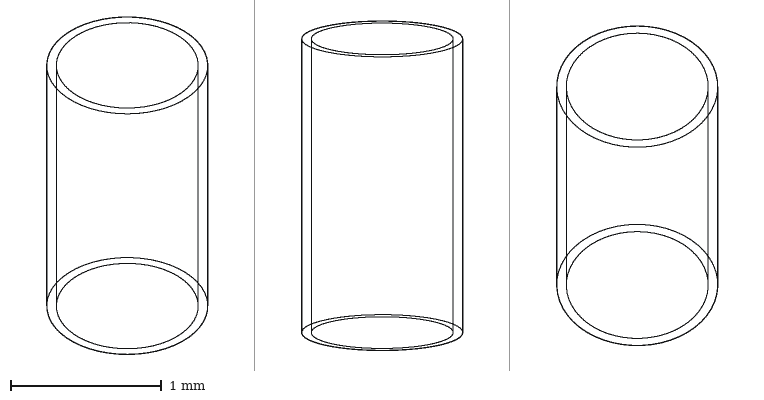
import cadquery as cq

length = 2.0
outer_diameter = 1.07
wall_thickness = 0.065
inner_diameter = outer_diameter - 2 * wall_thickness

result = (
    cq.Workplane("XY")
    .circle(outer_diameter / 2)
    .circle(inner_diameter / 2)
    .extrude(length)
)